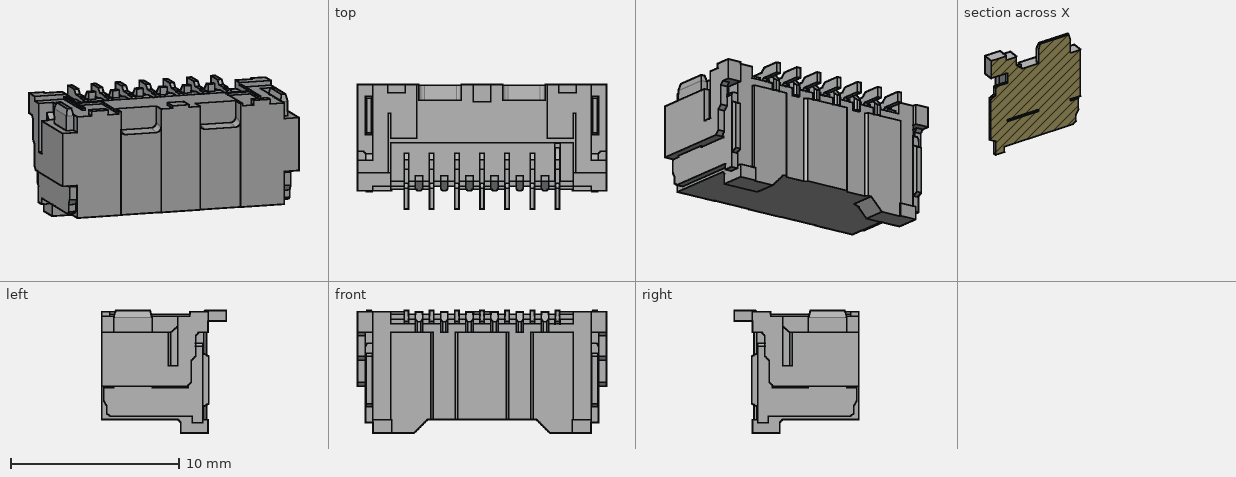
import cadquery as cq

LENGTH = 14.8
DEPTH = 7.4
HEIGHT = 7.3

BODY_HALF = 6.48
BODY_FRONT = 1.35
BODY_BOTTOM = 0.8
BODY_TOP = 6.94
PANEL_FRONT = 1.17
PANEL_TOP = 6.01
FEET_BACK = 2.71
FEET_BACK_CHAMFER = 0.16
FOOT_INNER = 4.04
FOOT_PAD_INNER = 5.36
EAR_FRONT = 1.08
EAR_BACK = 2.89
EAR_BOTTOM = 6.0
CAP_BACK = 2.16
CAP_TOP = 7.22

PLATEAU_TOP = 7.07
PLATEAU_HALF = 3.88
PLATEAU_FRONT = 4.22
RAIL_OUTER = 5.58
RAIL_BACK = 5.7
RECESS_HALF = 5.42
RECESS_BACK = 3.95
RECESS_FLOOR = 6.76
LEDGE_BACK = 1.66
LEDGE_TOP = 6.5

SKIRT_INNER = 6.94
SKIRT_BOTTOM = 2.78
SKIRT_LOWER_FRONT = 2.07
SKIRT_UPPER_FRONT = 1.82
SKIRT_STEP_BOTTOM = 4.32
SKIRT_LOWER_CHAMFER = 0.25
SKIRT_UPPER_CHAMFER = 0.2
BACKING_FRONT = 2.25
SLOT_BACK = 3.45
SLOT_BOTTOM = 4.0
SLOT_FLOOR = 6.9
SLOT_CHAMFER = 0.16
GUSSET_TOP = 6.35
PLATE_OUTER = 6.93
PLATE_FRONT = 1.39
PLATE_TOP = 5.35
PLATE_BEVEL_HEIGHT = 0.19
PLATE_BEVEL_WIDTH = 0.1
PLATE_BOTTOM = 0.62
PLATE_STEP_BACK = 2.03
PLATE_SHELF = 0.99
PLATE_BACK = 7.27
PLATE_NOSE_BACK = 7.09
PLATE_WING_TOP = 2.7
LATCH_FRONT = 4.41
LATCH_BACK = 6.69
LATCH_BOTTOM = 1.48
LATCH_BEVEL_START = 6.9
LATCH_END_TAPER = 0.12
LATCH_SIDE_TAPER = 0.09
TAB_OUTER = 6.87
TAB_INNER = 6.53
TAB_FRONT = 1.04
TAB_BOTTOM = 1.57
TAB_TOP = 4.75
TAB_TAPER = 0.18

PIN_COUNT = 7
PIN_PITCH = 1.5
PIN_WIDTH = 0.27
PIN_SLOT_WIDTH = 0.33
PIN_SLOT_BACK = 3.9
PIN_SLOT_FLOOR = 6.22
PIN_BACK = 3.64
POST_WIDTH = 0.43
POST_BACK = 1.97
POST_CORNER = 0.12
POST_CREST = 7.21

NOTCH_INNER = 1.23
NOTCH_OUTER = 3.75
NOTCH_FRONT = 6.45
NOTCH_FLOOR = 5.77
NOTCH_BACK_STEP = 0.05
NOTCH_ROUND = 0.31
NOTCH_TILT = 7.0
CORNER_BUMP_INNER = 4.56
CORNER_BUMP_OUTER = 5.6
CORNER_BUMP_FRONT = 6.91
CENTRE_BUMP_HALF = 0.52
CENTRE_BUMP_FRONT = 6.38


def block(x_min, x_max, y_min, y_max, z_min, z_max):
    """Box given by its limits."""
    size = (x_max - x_min, y_max - y_min, z_max - z_min)
    return cq.Workplane("XY").box(*size, centered=False).translate((x_min, y_min, z_min))


def side_prism(points, x_min, x_max):
    """Outline of (y, z) points, extruded along X."""
    return cq.Workplane("YZ").workplane(offset=x_min).polyline(points).close().extrude(x_max - x_min)


def plan_prism(points, z_min, z_max):
    """Outline of (x, y) points, extruded upward."""
    return cq.Workplane("XY").workplane(offset=z_min).polyline(points).close().extrude(z_max - z_min)


def both_ends(shape):
    """The shape at the -X end together with its mirror image at the +X end."""
    return shape.union(shape.mirror("YZ"))


def make_body():
    """Housing block with its raised top, front corner caps and pin recess."""
    body = block(-BODY_HALF, BODY_HALF, BODY_FRONT, DEPTH, BODY_BOTTOM, BODY_TOP)
    body = body.union(block(-PLATEAU_HALF, PLATEAU_HALF, PLATEAU_FRONT, DEPTH, BODY_TOP, PLATEAU_TOP))
    body = body.union(block(-RAIL_OUTER, RAIL_OUTER, RECESS_BACK, PLATEAU_FRONT, BODY_TOP, PLATEAU_TOP))
    body = body.union(both_ends(
        block(-RAIL_OUTER, -RECESS_HALF, CAP_BACK, RAIL_BACK, BODY_TOP, PLATEAU_TOP)))
    body = body.union(both_ends(
        block(-BODY_HALF, -RECESS_HALF, BODY_FRONT, CAP_BACK, BODY_TOP, CAP_TOP)))
    recess = block(-RECESS_HALF, RECESS_HALF, BODY_FRONT, RECESS_BACK, RECESS_FLOOR, CAP_TOP)
    ledge = block(-RECESS_HALF, RECESS_HALF, BODY_FRONT, LEDGE_BACK, LEDGE_TOP, CAP_TOP)
    return body.cut(recess).cut(ledge)


def make_front_panels():
    """Raised panels on the front face, with sloped vertical edges beside the two grooves."""
    centre_root, centre_face = 1.6, 1.45
    outer_root, outer_face = 2.89, 3.03
    centre = plan_prism(
        [(-centre_root, BODY_FRONT), (-centre_face, PANEL_FRONT),
         (centre_face, PANEL_FRONT), (centre_root, BODY_FRONT)], BODY_BOTTOM, PANEL_TOP)
    outer = plan_prism(
        [(-RECESS_HALF, BODY_FRONT), (-RECESS_HALF, PANEL_FRONT),
         (-outer_face, PANEL_FRONT), (-outer_root, BODY_FRONT)], 0, PANEL_TOP)
    return centre.union(both_ends(outer))


def make_feet():
    """Front bar under the housing, with a pad at each end."""
    feet = side_prism(
        [(BODY_FRONT, 0), (FEET_BACK, 0), (FEET_BACK, BODY_BOTTOM - FEET_BACK_CHAMFER),
         (FEET_BACK + FEET_BACK_CHAMFER, BODY_BOTTOM), (BODY_FRONT, BODY_BOTTOM)],
        -BODY_HALF, BODY_HALF)
    return feet.union(both_ends(
        block(-BODY_HALF, -FOOT_PAD_INNER, EAR_FRONT, BODY_FRONT, 0, BODY_BOTTOM)))


def foot_gap():
    """Space between the feet, with 45 degree flanks."""
    top_half = FOOT_INNER - BODY_BOTTOM
    outline = [(-FOOT_INNER, 0), (-top_half, BODY_BOTTOM), (top_half, BODY_BOTTOM), (FOOT_INNER, 0)]
    return cq.Workplane("XZ").polyline(outline).close().extrude(-DEPTH)


def make_end():
    """Ear, stepped skirt, latch plate and solder tab at the -X end."""
    outer = -LENGTH / 2
    step_top = SKIRT_STEP_BOTTOM + SKIRT_LOWER_FRONT - SKIRT_UPPER_FRONT
    ear = block(outer, -BODY_HALF, EAR_FRONT, EAR_BACK, EAR_BOTTOM, BODY_TOP)
    cap = block(outer, -BODY_HALF, EAR_FRONT, CAP_BACK, BODY_TOP, CAP_TOP)
    skirt = side_prism(
        [(DEPTH, SKIRT_BOTTOM), (SKIRT_LOWER_FRONT + SKIRT_LOWER_CHAMFER, SKIRT_BOTTOM),
         (SKIRT_LOWER_FRONT, SKIRT_BOTTOM + SKIRT_LOWER_CHAMFER),
         (SKIRT_LOWER_FRONT, SKIRT_STEP_BOTTOM), (SKIRT_UPPER_FRONT, step_top),
         (SKIRT_UPPER_FRONT, EAR_BOTTOM - SKIRT_UPPER_CHAMFER),
         (SKIRT_UPPER_FRONT - SKIRT_UPPER_CHAMFER, EAR_BOTTOM), (DEPTH, EAR_BOTTOM)],
        outer, -SKIRT_INNER)
    backing = block(-SKIRT_INNER, -BODY_HALF, BACKING_FRONT, DEPTH, SKIRT_BOTTOM, EAR_BOTTOM)
    slot_step = SLOT_BACK - SLOT_CHAMFER
    slot = plan_prism(
        [(outer, EAR_BACK), (outer, SLOT_BACK), (-SLOT_FLOOR - SLOT_CHAMFER, SLOT_BACK),
         (-SLOT_FLOOR, slot_step), (-SLOT_FLOOR, EAR_BACK)], SLOT_BOTTOM, EAR_BOTTOM)
    gusset = side_prism(
        [(EAR_BACK, EAR_BOTTOM), (slot_step, EAR_BOTTOM), (EAR_BACK, GUSSET_TOP)],
        -SLOT_FLOOR, -BODY_HALF)
    end = ear.union(cap).union(skirt).union(backing).cut(slot).union(gusset)
    return end.union(make_plate()).union(make_latch()).union(make_tab())


def make_plate():
    """Upright plate at the front with a long wing running back along the housing."""
    nose_start = 6.87
    nose_bottom = 1.15
    nose_top = 1.58
    wing_bottom = 1.91
    plate = side_prism(
        [(PLATE_FRONT, PLATE_TOP), (PLATE_FRONT, PLATE_BOTTOM),
         (PLATE_STEP_BACK, PLATE_BOTTOM), (PLATE_STEP_BACK, PLATE_SHELF),
         (nose_start, PLATE_SHELF), (PLATE_NOSE_BACK, nose_bottom), (PLATE_NOSE_BACK, nose_top),
         (PLATE_BACK, wing_bottom), (PLATE_BACK, PLATE_WING_TOP),
         (BACKING_FRONT, PLATE_WING_TOP), (BACKING_FRONT, PLATE_TOP)],
        -PLATE_OUTER, -BODY_HALF)
    bevel = (
        cq.Workplane("XZ")
        .polyline([(-PLATE_OUTER, PLATE_TOP), (-PLATE_OUTER + PLATE_BEVEL_WIDTH, PLATE_TOP),
                   (-PLATE_OUTER, PLATE_TOP - PLATE_BEVEL_HEIGHT)])
        .close().extrude(-DEPTH))
    return plate.cut(bevel)


def make_latch():
    """Upright latch, flush with the plate below it, whose tip tapers on all four sides."""
    root = block(-PLATE_OUTER, -BODY_HALF, LATCH_FRONT, LATCH_BACK, LATCH_BOTTOM, LATCH_BEVEL_START)
    tip = side_prism(
        [(LATCH_FRONT, LATCH_BEVEL_START), (LATCH_BACK, LATCH_BEVEL_START),
         (LATCH_BACK - LATCH_END_TAPER, HEIGHT), (LATCH_FRONT + LATCH_END_TAPER, HEIGHT)],
        -PLATE_OUTER, -BODY_HALF)
    side_taper = (
        cq.Workplane("XZ")
        .polyline([(-PLATE_OUTER, LATCH_BEVEL_START), (-BODY_HALF, LATCH_BEVEL_START),
                   (-BODY_HALF - LATCH_SIDE_TAPER, HEIGHT), (-PLATE_OUTER + LATCH_SIDE_TAPER, HEIGHT)])
        .close().extrude(-DEPTH))
    return root.union(tip.intersect(side_taper))


def make_tab():
    """Solder tab in front of the plate, with sloped upper and lower ends."""
    return side_prism(
        [(PLATE_FRONT, TAB_BOTTOM), (TAB_FRONT, TAB_BOTTOM + TAB_TAPER),
         (TAB_FRONT, TAB_TOP - TAB_TAPER), (PLATE_FRONT, TAB_TOP)],
        -TAB_OUTER, -TAB_INNER)


def make_pin(x):
    """Bent contact: tall tail in front, lower shank rising out of the recess floor."""
    tail_bottom, tail_back = 6.66, 1.25
    heel_front, heel_back = 1.29, 1.47
    shank_top, shank_front, shank_back = 7.05, 1.52, 2.37
    neck_top, neck_back = 6.99, 2.93
    floor_entry = 3.32
    outline = (
        cq.Workplane("YZ").workplane(offset=x - PIN_WIDTH / 2)
        .moveTo(0, tail_bottom).lineTo(0, HEIGHT).lineTo(tail_back, HEIGHT)
        .lineTo(shank_front, shank_top).lineTo(shank_back, shank_top)
        .lineTo(shank_back, neck_top).lineTo(neck_back, neck_top)
        .threePointArc((floor_entry, RECESS_FLOOR), (PIN_BACK, PIN_SLOT_FLOOR))
        .lineTo(LEDGE_BACK, PIN_SLOT_FLOOR).lineTo(LEDGE_BACK, LEDGE_TOP)
        .lineTo(heel_back, LEDGE_TOP).lineTo(heel_front, tail_bottom).close())
    return outline.extrude(PIN_WIDTH)


def make_post(x):
    """Post between two pins, with bevelled front corners and a 45 degree sloped crest."""
    half = POST_WIDTH / 2
    front = EAR_FRONT
    post = plan_prism(
        [(x - half, POST_BACK), (x - half, front + POST_CORNER), (x - half + POST_CORNER, front),
         (x + half - POST_CORNER, front), (x + half, front + POST_CORNER), (x + half, POST_BACK)],
        PANEL_TOP, POST_CREST)
    slope_drop = LEDGE_BACK - front
    return post.cut(side_prism(
        [(front, POST_CREST), (LEDGE_BACK, POST_CREST), (front, POST_CREST - slope_drop)],
        x - half, x + half))


def back_notch(x_min):
    """Notch in the back edge; its floor falls toward the back and is rounded at both ends."""
    x_max = x_min + NOTCH_OUTER - NOTCH_INNER
    floor_back = DEPTH - NOTCH_BACK_STEP
    limits = block(x_min, x_max, NOTCH_FRONT, DEPTH, BODY_BOTTOM, CAP_TOP)
    notch = block(x_min, x_max, 0, 2 * DEPTH, NOTCH_FLOOR, 2 * CAP_TOP)
    notch = notch.edges("|Y and <Z").fillet(NOTCH_ROUND)
    pivot = (0, NOTCH_FRONT, NOTCH_FLOOR)
    notch = notch.rotate(pivot, (1, NOTCH_FRONT, NOTCH_FLOOR), -NOTCH_TILT).intersect(limits)
    return notch.union(block(x_min, x_max, floor_back, DEPTH, BODY_BOTTOM, CAP_TOP))


def make_bumps():
    """Low pads on top, along the back edge."""
    corner = block(-CORNER_BUMP_OUTER, -CORNER_BUMP_INNER, CORNER_BUMP_FRONT, DEPTH, BODY_TOP, CAP_TOP)
    centre = block(-CENTRE_BUMP_HALF, CENTRE_BUMP_HALF, CENTRE_BUMP_FRONT, DEPTH, PLATEAU_TOP, CAP_TOP)
    return both_ends(corner).union(centre)


pin_places = [(i - (PIN_COUNT - 1) / 2) * PIN_PITCH for i in range(PIN_COUNT)]

result = make_body().union(make_feet()).union(make_front_panels()).cut(foot_gap())
result = result.union(both_ends(make_end())).union(make_bumps())
for notch_start in (-NOTCH_OUTER, NOTCH_INNER):
    result = result.cut(back_notch(notch_start))

result = result.cut(block(pin_places[-1] - PIN_SLOT_WIDTH / 2, pin_places[-1] + PIN_SLOT_WIDTH / 2,
                          LEDGE_BACK, PIN_SLOT_BACK, PIN_SLOT_FLOOR, RECESS_FLOOR))
for x in pin_places:
    result = result.union(make_pin(x))
for x in pin_places[:-1]:
    result = result.union(make_post(x + PIN_PITCH / 2))